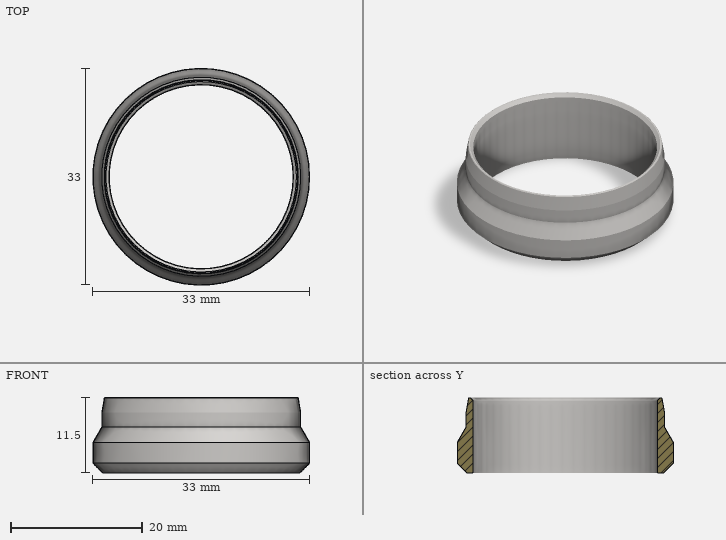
import cadquery as cq
import math

bore_diameter = 28.0
nose_diameter = 29.56
neck_diameter = 30.3
body_diameter = 33.0

overall_height = 11.5
neck_bottom = 7.0
neck_top = 9.2

bottom_chamfer = 1.5
bore_chamfer = 0.5
rim_chamfer = 0.1
shoulder_angle = 30.0

bore_radius = bore_diameter / 2
neck_radius = neck_diameter / 2
body_radius = body_diameter / 2
nose_radius = nose_diameter / 2
shoulder_height = (body_radius - neck_radius) / math.tan(math.radians(shoulder_angle))
body_top = neck_bottom - shoulder_height


def ring_section():
    """Half section of the ring, drawn as (radius, height) in the XZ plane."""
    return (
        cq.Workplane("XZ")
        .moveTo(bore_radius, 0)
        .lineTo(body_radius - bottom_chamfer, 0)
        .lineTo(body_radius, bottom_chamfer)
        .lineTo(body_radius, body_top)
        .lineTo(neck_radius, neck_bottom)
        .lineTo(neck_radius, neck_top)
        .lineTo(nose_radius, overall_height - rim_chamfer)
        .lineTo(nose_radius - rim_chamfer, overall_height)
        .lineTo(bore_radius + bore_chamfer, overall_height)
        .lineTo(bore_radius, overall_height - bore_chamfer)
        .close()
    )


result = ring_section().revolve(360, (0, 0, 0), (0, 1, 0))